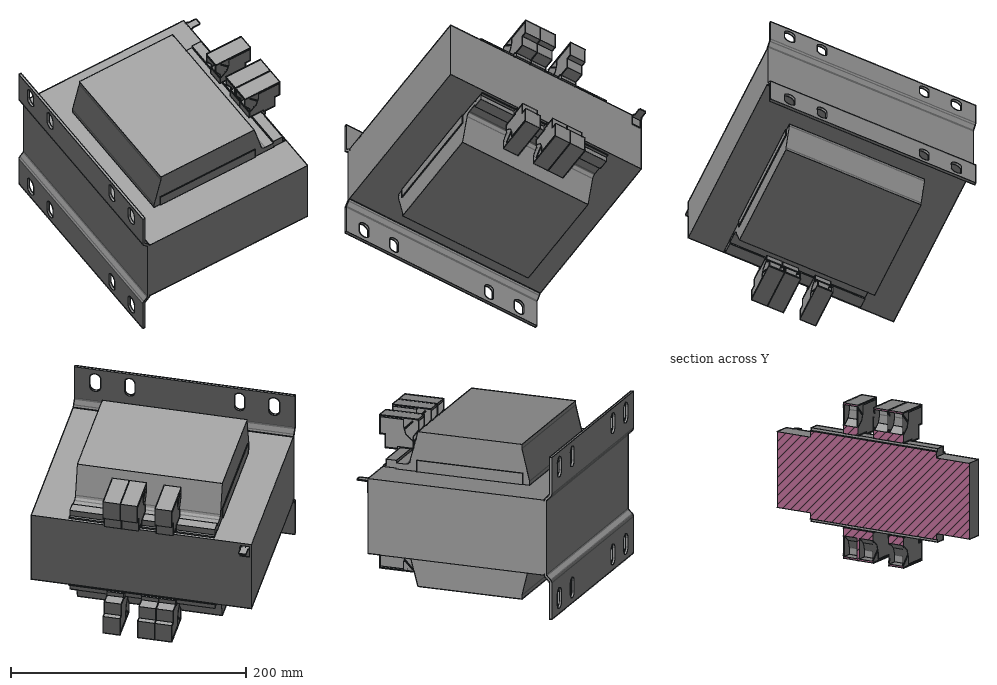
import cadquery as cq
import math


core_width = 192.0
core_back = 167.6
core_half_height = 33.6

plate_thickness = 2.3
plate_height = 145.0
foot_offset = 4.8
core_front = foot_offset + plate_thickness
foot_bend_z = 38.2
bend_angle = 45
bend_inner_radius = 1.2
bend_outer_radius = bend_inner_radius + plate_thickness
slot_length = 18.2
slot_z = 58.8
outer_slot_x = 78.0
outer_slot_width = 9.6
inner_slot_x = 47.8
inner_slot_width = 8.8

coil_width = 126.3
coil_half_height = 69.3
coil_top_front = 40.0
coil_top_back = 134.8
coil_base_front = 33.0
coil_skirt_z = 37.2
coil_brow_z = 65.7
coil_foot_back = 142.8
shelf_z = 39.0
shelf_fillet = 3.8
rail_front = 154.4
rail_back = 163.8
rail_top_z = 41.3
rail_lip_back = 166.0
rail_lip_top_z = 35.7
rail_underside_z = 34.4
rail_gap_front = 154.8
cover_width = 127.9
cover_front = 39.2
cover_back = 135.5
cover_half_height = 43.8

terminal_row_width = 60.3
position_count = 4
block_pitch = terminal_row_width / position_count
occupied_positions = (0, 2, 3)
block_back = 182.5
block_front = 147.3
block_top_z = 68.7
block_step_y = 177.8
block_step_z = 51.5
block_bottom_z = 39.5
seat_back = 165.3
seat_front = 151.3
throat_z = 52.2
nose_bottom_z = 59.0
block_wall = 1.3
panel_relief = 0.2
panel_inset = 0.8
lid_thickness = 0.8
lid_clearance = 0.1
roof_z = 66.8
funnel_back = 160.7
funnel_back_bottom_z = 60.9
funnel_knee = (158.5, 54.0)
funnel_lip_y = seat_front + panel_inset
funnel_lip_z = 48.4
foot_back = 167.8
foot_front = 162.2
foot_bottom_z = rail_lip_top_z
rib_start = (159.5, 58.2)
rib_length = 10.5
rib_thickness = 1.0
rib_angle = 45

tab_x = -90.5
tab_thickness = 1.0
tab_top_z = 31.1
tab_back = 178.8
tab_width = 6.5
tab_corner = 0.8
tab_base_width = 8.0
tab_base_back = 170.9
tab_pad_thickness = 0.8
tab_pad_bottom_z = 20.7


def box(x_range, y_range, z_range):
    """Box between the given limits on each axis."""
    lows, highs = zip(x_range, y_range, z_range)
    sizes = [high - low for low, high in zip(lows, highs)]
    return cq.Workplane("XY").box(*sizes, centered=False).translate(lows)


def extrude_x(points, x_start, x_end):
    """Closed (Y, Z) outline extruded along X."""
    outline = cq.Workplane("YZ", origin=(x_start, 0, 0)).polyline(points).close()
    return outline.extrude(x_end - x_start)


def round_x_edges(solid, points, radius):
    """Fillet the edges that run along X through the given (Y, Z) points."""
    for y, z in points:
        solid = solid.edges(cq.selectors.NearestToPointSelector((0, y, z))).fillet(radius)
    return solid


def mirrored_z(points):
    """Append the mirror image in Z to a half outline, in reverse order."""
    return points + [(y, -z) for y, z in reversed(points)]


def mounting_plate():
    half_width = core_width / 2
    bend_shift = plate_thickness * math.tan(math.radians(bend_angle / 2))
    bend_run = foot_offset / math.tan(math.radians(bend_angle))
    inner_bend_z = foot_bend_z + bend_shift
    foot_outer_bend = (0, foot_bend_z)
    web_outer_bend = (foot_offset, foot_bend_z - bend_run)
    foot_inner_bend = (plate_thickness, inner_bend_z)
    web_inner_bend = (core_front, inner_bend_z - bend_run)
    front_side = mirrored_z([(0, plate_height / 2), foot_outer_bend, web_outer_bend])
    back_side = mirrored_z([(plate_thickness, plate_height / 2), foot_inner_bend, web_inner_bend])
    plate = extrude_x(front_side + back_side[::-1], -half_width, half_width)
    plate = round_x_edges(plate, mirrored_z([foot_outer_bend, web_inner_bend]), bend_outer_radius)
    plate = round_x_edges(plate, mirrored_z([web_outer_bend, foot_inner_bend]), bend_inner_radius)
    for slot_x, slot_width in ((outer_slot_x, outer_slot_width), (inner_slot_x, inner_slot_width)):
        centres = [(sx * slot_x, sz * slot_z) for sx in (-1, 1) for sz in (-1, 1)]
        slots = cq.Workplane("XZ").pushPoints(centres).slot2D(slot_length, slot_width, 90)
        plate = plate.cut(slots.extrude(-plate_thickness))
    return plate


def coil():
    upper_outline = [
        (coil_base_front, 0),
        (coil_base_front, coil_skirt_z),
        (coil_top_front, coil_brow_z),
        (coil_top_front, coil_half_height),
        (coil_top_back, coil_half_height),
        (coil_foot_back, shelf_z),
        (rail_front, shelf_z),
        (rail_front, rail_top_z),
        (rail_back, rail_top_z),
        (rail_back, rail_lip_top_z),
        (rail_lip_back, rail_lip_top_z),
        (rail_lip_back, rail_underside_z),
        (rail_gap_front, rail_underside_z),
        (rail_gap_front, 0),
    ]
    upper = extrude_x(upper_outline, -coil_width / 2, coil_width / 2)
    upper = round_x_edges(upper, [(coil_foot_back, shelf_z)], shelf_fillet)
    covers = box(
        (-cover_width / 2, cover_width / 2),
        (cover_front, cover_back),
        (-cover_half_height, cover_half_height),
    )
    return upper.union(upper.mirror("XY")).union(covers)


def terminal_block(x_start):
    """Terminal block with a lid, a wire funnel open to the front and a raised panel on both sides."""
    x_end = x_start + block_pitch
    funnel = [
        (funnel_back, roof_z),
        (funnel_back, funnel_back_bottom_z),
        funnel_knee,
        (funnel_lip_y, funnel_lip_z),
    ]
    housing_outline = [
        (block_back, block_top_z),
        (block_back, block_step_z),
        (block_step_y, block_step_z),
        (block_step_y, block_bottom_z),
        (seat_back, block_bottom_z),
        (seat_back, rail_top_z),
        (seat_front, rail_top_z),
        (seat_front, funnel_lip_z),
        (funnel_lip_y, funnel_lip_z),
        (funnel_lip_y, throat_z),
        (block_front, nose_bottom_z),
        (block_front, block_top_z),
    ]
    panel_outline = funnel + [
        (funnel_lip_y, rail_top_z + panel_inset),
        (seat_back + panel_inset, rail_top_z + panel_inset),
        (seat_back + panel_inset, block_bottom_z + panel_inset),
        (block_step_y - panel_inset, block_bottom_z + panel_inset),
        (block_step_y - panel_inset, block_step_z + panel_inset),
        (block_back - panel_inset, block_step_z + panel_inset),
        (block_back - panel_inset, roof_z),
    ]
    funnel_outline = funnel + [(block_front, funnel_lip_z), (block_front, roof_z)]
    block = extrude_x(housing_outline, x_start + panel_relief, x_end - panel_relief)
    block = block.cut(extrude_x(funnel_outline, x_start + block_wall, x_end - block_wall))
    block = block.union(extrude_x(panel_outline, x_start, x_end))
    rib = box((0, block_wall), (-rib_length, 0), (0, rib_thickness))
    rib = rib.rotate((0, 0, 0), (1, 0, 0), -rib_angle)
    for rib_x in (x_start, x_end - block_wall):
        block = block.union(rib.translate((rib_x, *rib_start)))
    foot = box(
        (x_start + panel_relief, x_end - panel_relief),
        (foot_front, foot_back),
        (foot_bottom_z, rail_top_z),
    )
    lid = box(
        (x_start + lid_clearance, x_end - lid_clearance),
        (block_front, block_back),
        (block_top_z - lid_thickness, block_top_z),
    )
    return block.union(foot).union(lid)


def terminal_row():
    row_start = -terminal_row_width / 2
    row = cq.Workplane("XY")
    for position in occupied_positions:
        row = row.union(terminal_block(row_start + position * block_pitch))
    return row


def earth_tab():
    tab_z = (tab_top_z - tab_thickness, tab_top_z)
    blade = box((tab_x - tab_width / 2, tab_x + tab_width / 2), (core_back, tab_back), tab_z)
    blade = blade.edges("|Z and >Y").chamfer(tab_corner)
    base_x = (tab_x - tab_base_width / 2, tab_x + tab_base_width / 2)
    base = box(base_x, (core_back, tab_base_back), tab_z)
    pad = box(base_x, (core_back, core_back + tab_pad_thickness), (tab_pad_bottom_z, tab_top_z))
    return blade.union(base).union(pad)


core = box(
    (-core_width / 2, core_width / 2),
    (core_front, core_back),
    (-core_half_height, core_half_height),
)
upper_terminals = terminal_row()
lower_terminals = upper_terminals.rotate((0, 0, 0), (0, 1, 0), 180)

result = core.union(mounting_plate()).union(coil()).union(earth_tab())
result = result.union(upper_terminals).union(lower_terminals)